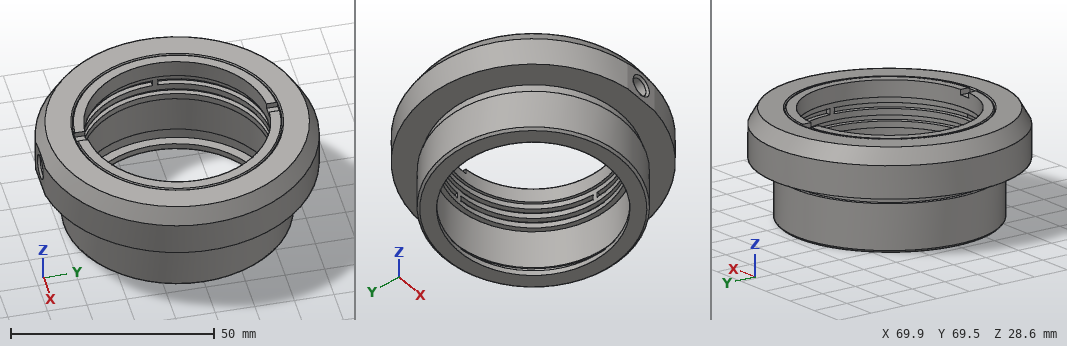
import cadquery as cq
import math

total_height = 28.575

flange_radius = 34.925
flange_top_radius = 32.5
flange_bevel_height = 4.1
flange_height = 12.7
neck_radius = 27.55
neck_height = 3.15
barrel_radius = 28.55
barrel_chamfer = 0.65
flat_width = 10.3

bore_radius = 25.8
bore_chamfer = 0.35
bore_depth = 24.0
relief_radius = 26.2
lip_radius = 23.75
lip_thickness = 1.6

screw_hole_radius = 2.5
screw_hole_rim_radius = 3.1
screw_hole_depth_below_top = 7.9

ring_inner_radius = 22.95
ring_height = 4.45
ring_outer_chamfer = 0.3
key_slot_width = 3.2
key_slot_depth = 1.4

spring_inner_radius = 23.7
spring_outer_radius = 25.1
leaf_thickness = 1.65
slit_height = 1.55
bridge_width = 1.35

bottom_z = -total_height
spring_top_z = -ring_height
spring_height = 3 * leaf_thickness + 2 * slit_height


def tube(outer_radius, inner_radius, top_z, height):
    """Plain ring around Z that hangs down from top_z."""
    return (
        cq.Workplane("XY", origin=(0, 0, top_z - height))
        .circle(outer_radius)
        .circle(inner_radius)
        .extrude(height)
    )


def revolve_profile(points):
    """Revolve a closed (radius, height) outline around Z."""
    return cq.Workplane("XZ").polyline(points).close().revolve(360, (0, 0, 0), (0, 1, 0))


def make_housing():
    barrel_top_z = -flange_height - neck_height
    body = revolve_profile([
        (bore_radius + bore_chamfer, 0),
        (flange_top_radius, 0),
        (flange_radius, -flange_bevel_height),
        (flange_radius, -flange_height),
        (neck_radius, -flange_height),
        (neck_radius, barrel_top_z),
        (barrel_radius, barrel_top_z),
        (barrel_radius, bottom_z + barrel_chamfer),
        (barrel_radius - barrel_chamfer, bottom_z),
        (lip_radius, bottom_z),
        (lip_radius, bottom_z + lip_thickness),
        (relief_radius, bottom_z + lip_thickness),
        (relief_radius, -bore_depth),
        (bore_radius, -bore_depth),
        (bore_radius, -bore_chamfer),
    ])

    flat_y = -math.sqrt(flange_radius**2 - (flat_width / 2) ** 2)
    beyond_flat = (
        cq.Workplane("XY", origin=(0, flat_y - flange_radius / 2, 0))
        .box(2 * flange_radius, flange_radius, 2 * total_height)
    )
    body = body.cut(beyond_flat)

    hole_start = cq.Vector(0, flat_y, -screw_hole_depth_below_top)
    inward = cq.Vector(0, 1, 0)
    hole = cq.Solid.makeCylinder(screw_hole_radius, -flat_y - lip_radius, hole_start, inward)
    countersink = cq.Solid.makeCone(
        screw_hole_rim_radius,
        screw_hole_radius,
        screw_hole_rim_radius - screw_hole_radius,
        hole_start,
        inward,
    )
    return body.cut(cq.Workplane(hole)).cut(cq.Workplane(countersink))


def make_retaining_ring():
    ring = revolve_profile([
        (ring_inner_radius, 0),
        (bore_radius - ring_outer_chamfer, 0),
        (bore_radius, -ring_outer_chamfer),
        (bore_radius, -ring_height),
        (ring_inner_radius, -ring_height),
    ])
    slots = cq.Workplane("XY").box(key_slot_width, 2 * flange_radius, 2 * key_slot_depth)
    return ring.cut(slots)


def make_slit(top_z, bridge_angle):
    """Full-depth slit all round, broken by two opposite bridges on the axis at bridge_angle from X."""
    slit = tube(bore_radius, ring_inner_radius, top_z, slit_height)
    bridges = (
        cq.Workplane("XY", origin=(0, 0, top_z))
        .box(2 * flange_radius, bridge_width, 2 * slit_height)
        .rotate((0, 0, 0), (0, 0, 1), bridge_angle)
    )
    return slit.cut(bridges)


def make_spring_ring():
    spring = tube(spring_outer_radius, spring_inner_radius, spring_top_z, spring_height)
    for level, bridge_angle in enumerate((0, 90)):
        slit_top_z = spring_top_z - leaf_thickness - level * (leaf_thickness + slit_height)
        spring = spring.cut(make_slit(slit_top_z, bridge_angle))
    return spring


housing = make_housing()
retaining_ring = make_retaining_ring()
spring_ring = make_spring_ring()

result = cq.Compound.makeCompound([housing.val(), retaining_ring.val(), spring_ring.val()])